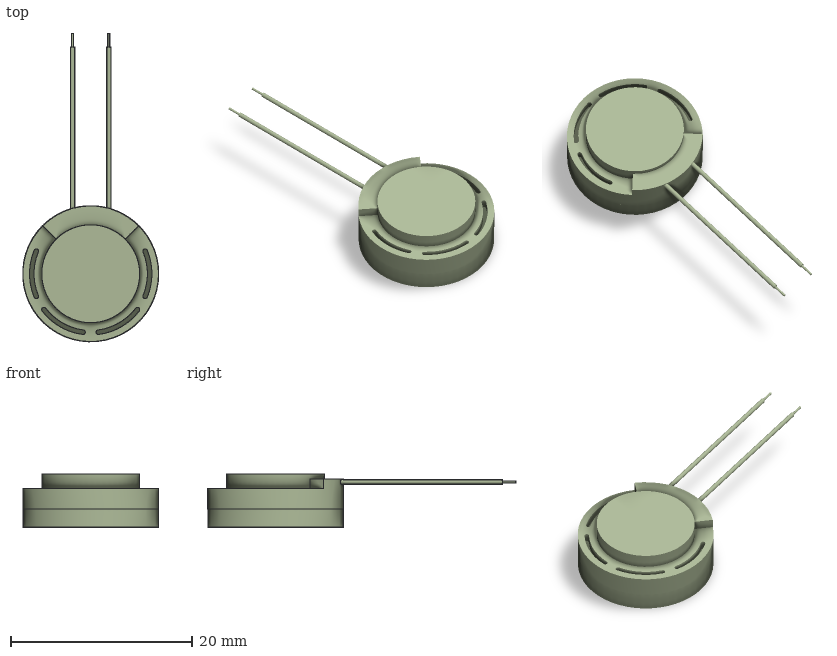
import cadquery as cq
import math

BASE_DIAMETER = 14.95
BASE_TOP = 2.05
HOUSING_DIAMETER = 15.0
HOUSING_TOP = 4.3
CAP_DIAMETER = 10.8
CAP_TOP = 5.9

SECTOR_TOP = 5.35
SECTOR_ANGLE = 90.0

SLOT_WIDTH = 0.5
SLOT_PATH_RADIUS = 6.5
SLOT_SPAN_ANGLE = 45.0
SLOT_DEPTH = 1.0
SLOT_CENTER_ANGLES = (180.0, 240.0, 300.0, 360.0)

WIRE_SPACING = 4.0
WIRE_Z = 5.0
WIRE_DIAMETER = 0.5
BARE_DIAMETER = 0.25
BARE_LENGTH = 1.5
WIRE_TIP_Y = 26.5
WIRE_ROOT_Y = 6.5


def disc(diameter, bottom, top):
    """Vertical cylinder on the Z axis between two heights."""
    return cq.Workplane("XY").workplane(offset=bottom).circle(diameter / 2).extrude(top - bottom)


def polar(radius, angle):
    """XY point at a radius and an angle in degrees from +X."""
    return (radius * math.cos(math.radians(angle)), radius * math.sin(math.radians(angle)))


def raised_sector():
    """Ring sector centred on +Y, from the cap side out to the housing edge."""
    start = 90.0 - SECTOR_ANGLE / 2
    end = 90.0 + SECTOR_ANGLE / 2
    outer = HOUSING_DIAMETER / 2
    return (
        cq.Workplane("XY")
        .workplane(offset=HOUSING_TOP)
        .moveTo(0, 0)
        .lineTo(*polar(outer, start))
        .threePointArc(polar(outer, 90.0), polar(outer, end))
        .close()
        .extrude(SECTOR_TOP - HOUSING_TOP)
    )


def curved_slot(center_angle):
    """Round-ended slot following an arc around the Z axis, cut down from the housing top."""
    start = center_angle - SLOT_SPAN_ANGLE / 2
    end = center_angle + SLOT_SPAN_ANGLE / 2
    inner = SLOT_PATH_RADIUS - SLOT_WIDTH / 2
    outer = SLOT_PATH_RADIUS + SLOT_WIDTH / 2
    start_x, start_y = polar(SLOT_PATH_RADIUS, start)
    end_x, end_y = polar(SLOT_PATH_RADIUS, end)
    start_dx, start_dy = polar(SLOT_WIDTH / 2, start - 90.0)
    end_dx, end_dy = polar(SLOT_WIDTH / 2, end + 90.0)
    return (
        cq.Workplane("XY")
        .workplane(offset=HOUSING_TOP)
        .moveTo(*polar(outer, start))
        .threePointArc(polar(outer, center_angle), polar(outer, end))
        .threePointArc((end_x + end_dx, end_y + end_dy), polar(inner, end))
        .threePointArc(polar(inner, center_angle), polar(inner, start))
        .threePointArc((start_x + start_dx, start_y + start_dy), polar(outer, start))
        .close()
        .extrude(-SLOT_DEPTH)
    )


def rod_along_y(x, diameter, tip_y):
    """Horizontal rod from the wire root inside the sector out to tip_y."""
    root_plane = cq.Plane(origin=(x, WIRE_ROOT_Y, WIRE_Z), xDir=(1, 0, 0), normal=(0, 1, 0))
    return cq.Workplane(root_plane).circle(diameter / 2).extrude(tip_y - WIRE_ROOT_Y)


def wire(x):
    """Insulated wire with its thinner bare end."""
    insulation = rod_along_y(x, WIRE_DIAMETER, WIRE_TIP_Y - BARE_LENGTH)
    return insulation.union(rod_along_y(x, BARE_DIAMETER, WIRE_TIP_Y))


body = disc(BASE_DIAMETER, 0, BASE_TOP)
body = body.union(disc(HOUSING_DIAMETER, BASE_TOP, HOUSING_TOP))
body = body.union(disc(CAP_DIAMETER, HOUSING_TOP, CAP_TOP))
body = body.union(raised_sector())

for slot_angle in SLOT_CENTER_ANGLES:
    body = body.cut(curved_slot(slot_angle))

for wire_x in (-WIRE_SPACING / 2, WIRE_SPACING / 2):
    body = body.union(wire(wire_x))

result = body